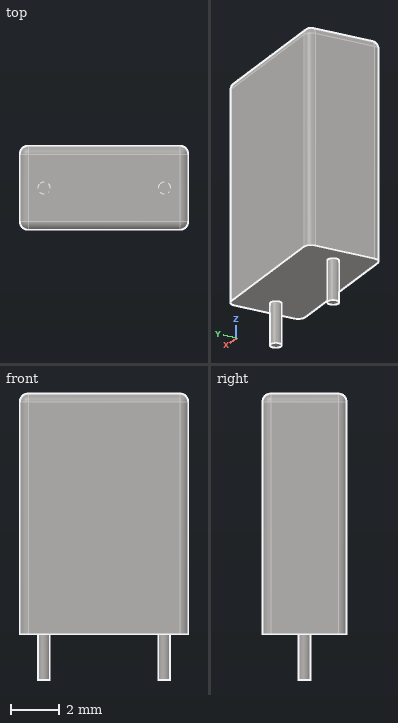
import cadquery as cq

case_length = 7.0
case_width = 3.5
case_height = 10.0
edge_radius = 0.35

lead_diameter = 0.5
lead_pitch = 5.0
lead_length = 1.9


def make_case():
    """Box with every edge rounded except those around the flat base."""
    box = cq.Workplane("XY").box(case_length, case_width, case_height, centered=(True, True, False))
    return box.edges("|Z or >Z").fillet(edge_radius)


def make_leads():
    """Two straight leads hanging from the base, spaced evenly about the centre."""
    lead_centres = [(-lead_pitch / 2, 0), (lead_pitch / 2, 0)]
    return cq.Workplane("XY").pushPoints(lead_centres).circle(lead_diameter / 2).extrude(-lead_length)


result = make_case().union(make_leads())